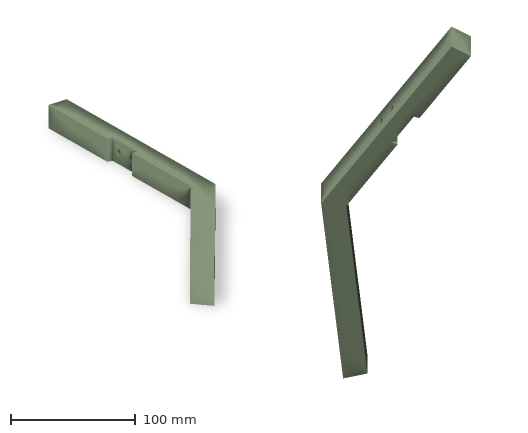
import cadquery as cq
import math

overall_length = 449.5
bar_width = 20.0
bend_x = 240.0
bend_angle = 30.0
miter_angle = 15.0

notch_center_x = 120.0
notch_length = 40.0
notch_depth = 5.0
hole_spacing = 20.0
hole_diameter = 5.5


def bent_bar():
    """Square bar with one bend and two mitered ends; its straight back edge lies at y = 0."""
    bend = math.radians(bend_angle)
    miter = math.radians(miter_angle)
    end_inset = bar_width * math.tan(miter)
    bend_inset = bar_width * math.tan(bend / 2)

    tip_y = -(overall_length - bend_x) * math.tan(bend)
    end_edge = bar_width / math.cos(miter)
    end_slope = bend + miter
    inner_tip = (
        overall_length - end_edge * math.sin(end_slope),
        tip_y - end_edge * math.cos(end_slope),
    )
    outline = [
        (0, 0),
        (bend_x, 0),
        (overall_length, tip_y),
        inner_tip,
        (bend_x - bend_inset, -bar_width),
        (end_inset, -bar_width),
    ]
    return cq.Workplane("XY").polyline(outline).close().extrude(bar_width)


def notch():
    """Shallow rectangular recess across the front of the straight arm."""
    return (
        cq.Workplane("XY")
        .center(notch_center_x, -bar_width)
        .rect(notch_length, 2 * notch_depth)
        .extrude(bar_width)
    )


def screw_holes():
    """Two holes running through the bar from the notch to the back."""
    return (
        cq.Workplane("XZ")
        .center(notch_center_x, bar_width / 2)
        .rarray(hole_spacing, 4.5, 2, 1)
        .circle(hole_diameter / 2)
        .extrude(bar_width)
    )


result = bent_bar().cut(notch()).cut(screw_holes())